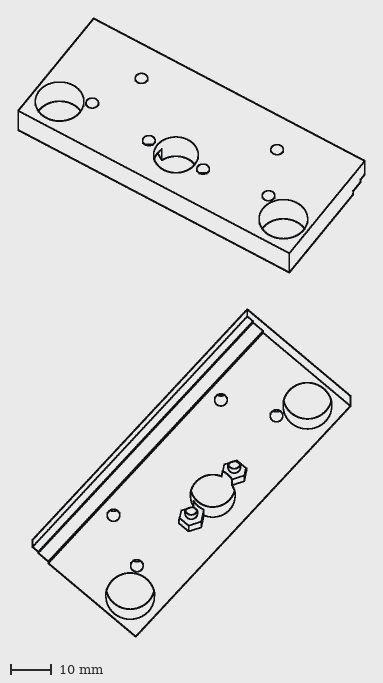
import cadquery as cq
import math

LENGTH = 80.0
WIDTH = 34.0
THICKNESS = 8.0

OUTER_STEP_WIDTH = 1.9
OUTER_STEP_HEIGHT = 2.4
INNER_STEP_WIDTH = 5.2
INNER_STEP_HEIGHT = 1.4

CENTRE_BORE_DIAMETER = 11.0
CENTRE_BORE_Y = -7.0
END_BORE_DIAMETER = 12.0
END_BORE_X = 33.0
END_BORE_Y = -9.0

SCREW_HOLE_DIAMETER = 3.1
REAR_HOLE_X = 20.0
REAR_HOLE_Y = 8.0
SIDE_HOLE_X = 26.0
SIDE_HOLE_Y = -5.0
INNER_HOLE_X = 8.0

NUT_SIDES = 6
NUT_ACROSS_FLATS = 5.7
NUT_POCKET_DEPTH = 4.5


def mirrored_pair(x, y):
    return [(-x, y), (x, y)]


def make_plate():
    front = -WIDTH / 2
    rear = WIDTH / 2
    inner_step = rear - INNER_STEP_WIDTH
    outer_step = rear - OUTER_STEP_WIDTH
    profile = [
        (front, 0),
        (inner_step, 0),
        (inner_step, INNER_STEP_HEIGHT),
        (outer_step, INNER_STEP_HEIGHT),
        (outer_step, OUTER_STEP_HEIGHT),
        (rear, OUTER_STEP_HEIGHT),
        (rear, THICKNESS),
        (front, THICKNESS),
    ]
    return cq.Workplane("YZ").polyline(profile).close().extrude(LENGTH / 2, both=True)


def through_holes(points, diameter):
    """Upright cylinders as tall as the plate."""
    return cq.Workplane("XY").pushPoints(points).circle(diameter / 2).extrude(THICKNESS)


def nut_pocket(x, y):
    """Hexagonal prism rising from the underside, with two flats square to X."""
    half_side_angle = 180 / NUT_SIDES
    across_corners = NUT_ACROSS_FLATS / math.cos(math.radians(half_side_angle))
    prism = cq.Workplane("XY").polygon(NUT_SIDES, across_corners).extrude(NUT_POCKET_DEPTH)
    return prism.rotate((0, 0, 0), (0, 0, 1), half_side_angle).translate((x, y, 0))


end_bores = mirrored_pair(END_BORE_X, END_BORE_Y)
inner_holes = mirrored_pair(INNER_HOLE_X, CENTRE_BORE_Y)
rear_holes = mirrored_pair(REAR_HOLE_X, REAR_HOLE_Y)
side_holes = mirrored_pair(SIDE_HOLE_X, SIDE_HOLE_Y)
screw_holes = inner_holes + rear_holes + side_holes

result = make_plate()
result = result.cut(through_holes([(0, CENTRE_BORE_Y)], CENTRE_BORE_DIAMETER))
result = result.cut(through_holes(end_bores, END_BORE_DIAMETER))
result = result.cut(through_holes(screw_holes, SCREW_HOLE_DIAMETER))
for hole_x, hole_y in inner_holes:
    result = result.cut(nut_pocket(hole_x, hole_y))